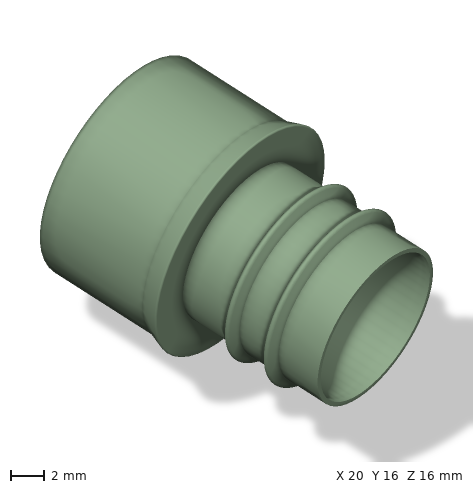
import cadquery as cq

total_length = 20.0
body_radius = 15.1 / 2
tube_radius = 10.9 / 2
bore_radius = 10.3 / 2
rim_fillet = 0.5

flare_start = 8.2
flare_end = 9.6
collar_sharp_radius = 8.05
collar_fillet = 0.1

barb_starts = (13.0, 16.0)
barb_width = 1.0
barb_sharp_radius = 6.35
barb_tip_fillet = 0.2


def revolve_about_x(profile):
    """Turn a closed profile of (x, radius) points around the X axis."""
    return profile.close().revolve(360, (0, 0, 0), (1, 0, 0))


def make_sleeve():
    """Plain body, flared collar and tube, bored right through."""
    sleeve = revolve_about_x(
        cq.Workplane("XY")
        .moveTo(0, bore_radius)
        .lineTo(0, body_radius)
        .lineTo(flare_start, body_radius)
        .lineTo(flare_end, collar_sharp_radius)
        .lineTo(flare_end, tube_radius)
        .lineTo(total_length, tube_radius)
        .lineTo(total_length, bore_radius)
    )
    sleeve = sleeve.faces("<X").edges().fillet(rim_fillet)
    collar_edge = cq.selectors.RadiusNthSelector(-1)
    return sleeve.edges("%CIRCLE").edges(collar_edge).fillet(collar_fillet)


def make_barb(start):
    """Symmetric V-shaped ring with a rounded tip, rooted in the tube wall."""
    ring = revolve_about_x(
        cq.Workplane("XY")
        .moveTo(start, bore_radius)
        .lineTo(start, tube_radius)
        .lineTo(start + barb_width / 2, barb_sharp_radius)
        .lineTo(start + barb_width, tube_radius)
        .lineTo(start + barb_width, bore_radius)
    )
    tip_edge = cq.selectors.RadiusNthSelector(-1)
    return ring.edges("%CIRCLE").edges(tip_edge).fillet(barb_tip_fillet)


result = make_sleeve()
for barb_start in barb_starts:
    result = result.union(make_barb(barb_start))